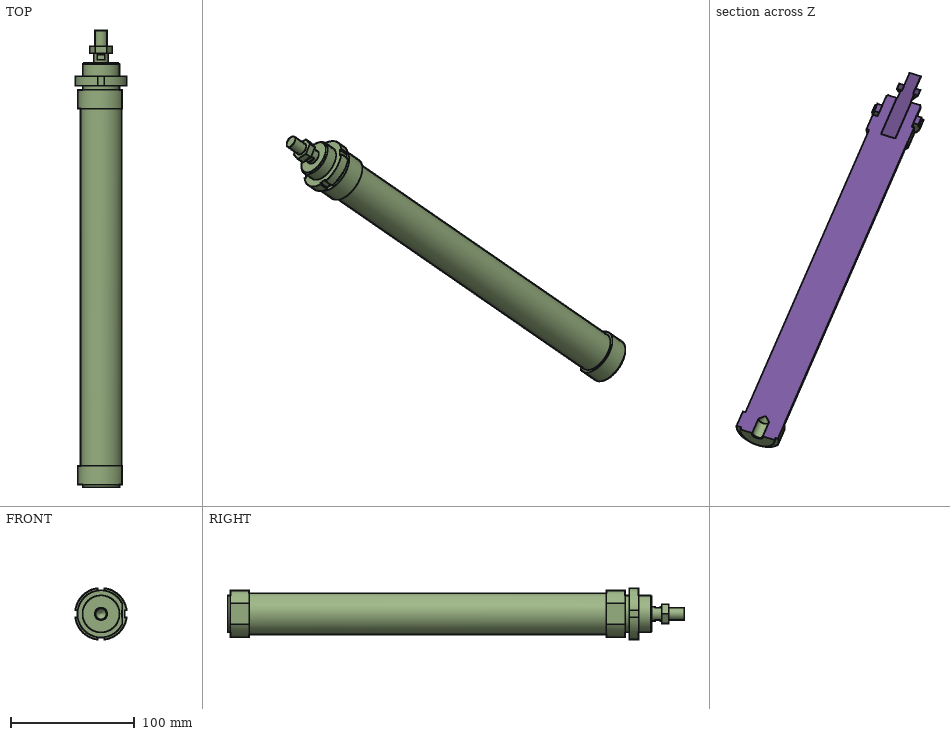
import cadquery as cq


overall_length = 369.5
rod_tip = overall_length / 2
rear_end = -overall_length / 2
front_end = rod_tip - 26.2

tube_diameter = 33.5
cap_diameter = 38.0
cap_length = 15.0
cap_flat_offset = 17.0
boss_diameter = 30.0
boss_chamfer = 1.0
front_boss_length = 21.8
rear_boss_length = 2.2
front_cap_end = front_end - front_boss_length
rear_cap_end = rear_end + rear_boss_length

port_diameter = 9.0
port_mouth_diameter = 10.0
port_depth = 14.8
port_mouth_depth = (port_mouth_diameter - port_diameter) / 2
port_cone_depth = port_diameter / 2

thread_diameter = 10.0
thread_length = 18.5
shank_diameter = 12.0
shank_end = front_cap_end - cap_length
flats_across = 10.0
flats_start = rod_tip - 19.5
flats_length = 4.0

hex_across_flats = 16.0
hex_thickness = 6.0
hex_across_corners = hex_across_flats / (3 ** 0.5 / 2)

ring_diameter = 42.0
ring_thickness = 7.8
ring_front = front_end - 10.7
slot_count = 4
slot_width = 5.5
slot_depth = 2.0


def section_plane(y):
    """Plane across the axis at y; its local X is +X and its normal points to -Y."""
    return cq.Workplane("XZ", origin=(0, y, 0))


def cylinder(diameter, start, end):
    """Round bar on the axis from y = start back to y = end."""
    return section_plane(start).circle(diameter / 2).extrude(start - end)


def make_cap(start):
    """End cap with one flat on its +X side."""
    cap = cylinder(cap_diameter, start, start - cap_length)
    keep = section_plane(start).center(cap_flat_offset - cap_diameter / 2, 0)
    return cap.intersect(keep.rect(cap_diameter, cap_diameter).extrude(cap_length))


def make_port():
    """Volume of the rear port, revolved about Y."""
    radius = port_diameter / 2
    bottom = rear_end + port_depth
    return (
        cq.Workplane("XY")
        .moveTo(0, rear_end)
        .lineTo(port_mouth_diameter / 2, rear_end)
        .lineTo(radius, rear_end + port_mouth_depth)
        .lineTo(radius, bottom)
        .lineTo(0, bottom + port_cone_depth)
        .close()
        .revolve(360, (0, 0, 0), (0, 1, 0))
    )


def make_housing():
    front_boss = cylinder(boss_diameter, front_end, front_cap_end).faces(">Y").chamfer(boss_chamfer)
    rear_boss = cylinder(boss_diameter, rear_cap_end, rear_end)
    housing = cylinder(tube_diameter, front_cap_end - cap_length, rear_cap_end + cap_length)
    housing = housing.union(make_cap(front_cap_end)).union(make_cap(rear_cap_end + cap_length))
    housing = housing.union(front_boss).union(rear_boss)
    rod_bore = cylinder(shank_diameter, front_end, shank_end)
    return housing.cut(rod_bore).cut(make_port())


def make_rod():
    thread_end = rod_tip - thread_length
    rod = cylinder(thread_diameter, rod_tip, thread_end)
    rod = rod.union(cylinder(shank_diameter, thread_end, shank_end))
    flats_blank = section_plane(flats_start).rect(shank_diameter, shank_diameter).extrude(flats_length)
    flats_core = section_plane(flats_start).rect(shank_diameter, flats_across).extrude(flats_length)
    return rod.cut(flats_blank.cut(flats_core))


def make_hex_nut():
    front = rod_tip - thread_length + hex_thickness
    nut = section_plane(front).polygon(6, hex_across_corners).extrude(hex_thickness)
    return nut.cut(cylinder(thread_diameter, front, front - hex_thickness))


def make_ring_nut():
    ring_rear = ring_front - ring_thickness
    ring = cylinder(ring_diameter, ring_front, ring_rear)
    ring = ring.cut(cylinder(boss_diameter, ring_front, ring_rear))
    slots = (
        section_plane(ring_front)
        .polarArray(ring_diameter / 2, 0, 360, slot_count)
        .rect(2 * slot_depth, slot_width)
        .extrude(ring_thickness)
    )
    return ring.cut(slots)


housing = make_housing()
rod = make_rod()
hex_nut = make_hex_nut()
ring_nut = make_ring_nut()

result = cq.Compound.makeCompound([housing.val(), rod.val(), hex_nut.val(), ring_nut.val()])